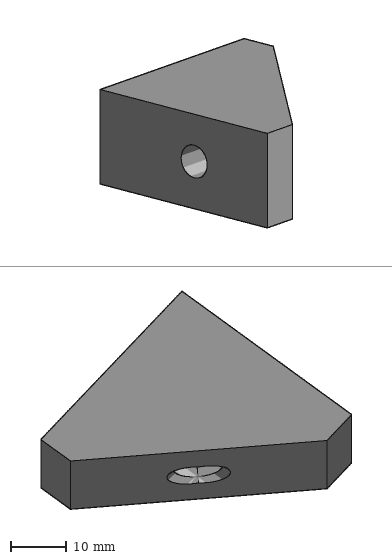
import cadquery as cq

leg_length = 40.0
thickness = 18.0
end_width = 7.0

hole_diameter = 6.2
hole_offset = 22.5


def corner_block():
    """Right-angled corner block with a sloping face and blunted tips."""
    outline = [
        (0, 0),
        (leg_length, 0),
        (leg_length, end_width),
        (end_width, leg_length),
        (0, leg_length),
    ]
    return cq.Workplane("XY").polyline(outline).close().extrude(thickness)


def bolt_hole(start, direction):
    """Cylinder running inward from a leg face, past the sloping face."""
    return cq.Workplane(
        cq.Solid.makeCylinder(
            hole_diameter / 2, leg_length, cq.Vector(*start), cq.Vector(*direction)
        )
    )


mid_height = thickness / 2
hole_along_y = bolt_hole((hole_offset, 0, mid_height), (0, 1, 0))
hole_along_x = bolt_hole((0, hole_offset, mid_height), (1, 0, 0))

result = corner_block().cut(hole_along_y).cut(hole_along_x)